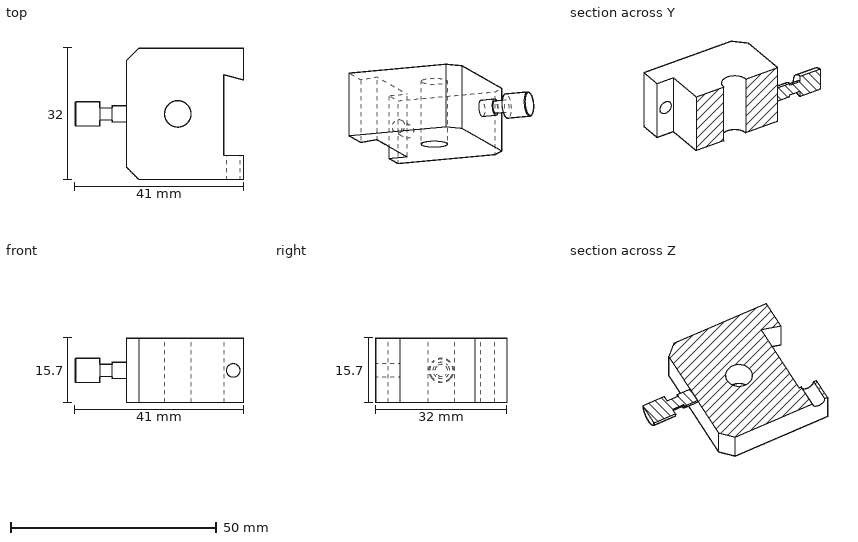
import cadquery as cq
import math

block_length = 28.5
block_width = 32.0
block_height = 15.7
corner_chamfer = 3.0

jaw_depth = 4.75
square_lug_width = 5.9
undercut_lug_root_width = 6.5
undercut_angle = math.radians(15)

mount_hole_diameter = 6.4
mount_hole_x = 12.5
lug_hole_diameter = 3.3
lug_hole_end_distance = 2.5

shank_diameter = 4.0
shank_length = 3.5
neck_diameter = 3.0
neck_length = 3.0
head_diameter = 6.0
head_length = 6.0
head_edge_chamfer = 0.2

half_width = block_width / 2
jaw_floor_x = block_length - jaw_depth
lug_hole_x = block_length - lug_hole_end_distance


def make_block():
    """Chamfered block with the jaw opening, the upright hole and the lug hole."""
    square_side_y = -half_width + square_lug_width
    undercut_root_y = half_width - undercut_lug_root_width
    undercut_tip_y = undercut_root_y - jaw_depth * math.tan(undercut_angle)
    outline = [
        (corner_chamfer, -half_width),
        (block_length, -half_width),
        (block_length, square_side_y),
        (jaw_floor_x, square_side_y),
        (jaw_floor_x, undercut_root_y),
        (block_length, undercut_tip_y),
        (block_length, half_width),
        (corner_chamfer, half_width),
        (0, half_width - corner_chamfer),
        (0, -half_width + corner_chamfer),
    ]
    body = cq.Workplane("XY").polyline(outline).close().extrude(block_height / 2, both=True)

    mount_hole = (
        cq.Workplane("XY")
        .center(mount_hole_x, 0)
        .circle(mount_hole_diameter / 2)
        .extrude(block_height / 2, both=True)
    )
    lug_hole = (
        cq.Workplane("XZ", origin=(lug_hole_x, square_side_y, 0))
        .circle(lug_hole_diameter / 2)
        .extrude(square_lug_width)
    )
    return body.cut(mount_hole).cut(lug_hole)


def make_screw():
    """Shank, narrower neck and chamfered head, stacked outward from the block."""
    return (
        cq.Workplane("YZ")
        .circle(shank_diameter / 2)
        .extrude(-shank_length)
        .faces("<X")
        .workplane()
        .circle(neck_diameter / 2)
        .extrude(neck_length)
        .faces("<X")
        .workplane()
        .circle(head_diameter / 2)
        .extrude(head_length)
        .faces("<X")
        .chamfer(head_edge_chamfer)
    )


block = make_block()
screw = make_screw()

result = cq.Compound.makeCompound([block.val(), screw.val()])